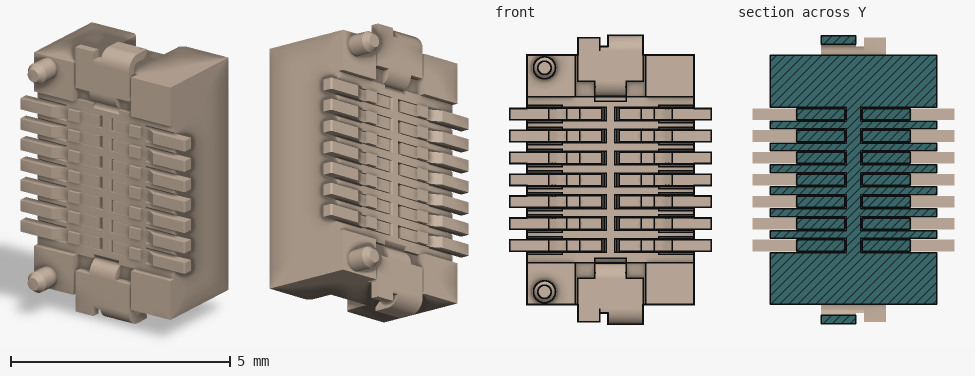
import cadquery as cq
import math

HOUSING_WIDTH = 3.815
HOUSING_DEPTH = 2.3
HOUSING_HEIGHT = 5.695
HALF_HEIGHT = HOUSING_HEIGHT / 2

CHANNEL_WIDTH = 1.19
CHANNEL_DEPTH = 0.685
CHANNEL_CHAMFER = 0.105

DECK_HALF_HEIGHT = 1.895
DECK_Y = 0.15

ROWS = 7
FIRST_TO_LAST_ROW = 2.995
PITCH = FIRST_TO_LAST_ROW / (ROWS - 1)
CONTACT_WIDTH = 0.265
CONTACT_THICKNESS = 0.25
CONTACT_INNER_X = 0.2
CONTACT_EMBED_Y = 0.395
BLOCK_INNER_X = 0.7
BLOCK_OUTER_X = 1.0
BLOCK_Y = 0.07
BEND_INNER_X = 1.13
BEND_OUTER_X = 1.255
TAIL_INNER_X = 1.41
SPAN_OVER_TAILS = 4.6
TAIL_TIP_X = SPAN_OVER_TAILS / 2
TAIL_ROUND = 0.045
ANGLE_ITERATIONS = 20

SLOT_WIDTH = 0.31
SLOT_FLOOR_Y = 0.305
SLOT_INNER_X = 0.09
SLOT_CHAMFER = 0.045
SLOT_STEP = 0.045
SLOT_CHAMFER_INNER_X = 1.1

PEG_X = -1.505
PEG_Z = 2.555
PEG_RADIUS = 0.25
PEG_TIP_RADIUS = 0.15
PEG_LENGTH = 0.6
PEG_TIP_LENGTH = 0.15

CLIP_TOP_Z = 3.3
CLIP_HALF_WIDTH = 0.745
CLIP_BOTTOM_Z = 2.245
CLIP_THICKNESS = 0.2
CLIP_BEND_RADIUS = 0.35
TAB_TOP_Z = 3.24
TAB_INNER_X = -0.245
HOOK_INNER_X = -0.06
STRIP_TOP_Z = 3.04
HOOK_TIP_Y = 0.71
HOOK_TIP_CHAMFER = 0.105
TONGUE_HALF_WIDTH = 0.355
CLIP_POCKET_WIDTH = 1.62
CLIP_POCKET_Y = 0.26


def box(x_range, y_range, z_range):
    """Box spanning the given (low, high) ranges."""
    lows, highs = zip(x_range, y_range, z_range)
    size = [high - low for low, high in zip(lows, highs)]
    return cq.Workplane("XY").box(*size, centered=False).translate(lows)


def mirrored_pair(shape, plane):
    """The shape together with its mirror image."""
    return shape.union(shape.mirror(plane))


def make_housing():
    half_width = HOUSING_WIDTH / 2
    half_channel = CHANNEL_WIDTH / 2
    channel_y = HOUSING_DEPTH - CHANNEL_DEPTH
    section = [
        (-half_width, 0),
        (half_width, 0),
        (half_width, HOUSING_DEPTH),
        (half_channel + CHANNEL_CHAMFER, HOUSING_DEPTH),
        (half_channel, HOUSING_DEPTH - CHANNEL_CHAMFER),
        (half_channel, channel_y),
        (-half_channel, channel_y),
        (-half_channel, HOUSING_DEPTH - CHANNEL_CHAMFER),
        (-half_channel - CHANNEL_CHAMFER, HOUSING_DEPTH),
        (-half_width, HOUSING_DEPTH),
    ]
    housing = cq.Workplane("XY").polyline(section).close().extrude(HALF_HEIGHT, both=True)
    deck = box(
        (-half_width, half_width), (0, DECK_Y), (-DECK_HALF_HEIGHT, DECK_HALF_HEIGHT)
    )
    return housing.cut(deck)


def make_clip_pocket():
    """Pocket behind the upper clip, with a bevelled notch where its tongue enters."""
    half_width = CLIP_POCKET_WIDTH / 2
    pocket = box(
        (-half_width, half_width), (0, CLIP_POCKET_Y), (DECK_HALF_HEIGHT, HALF_HEIGHT)
    )
    bevel = CLIP_POCKET_Y - DECK_Y
    notch = (
        cq.Workplane("YZ")
        .polyline([
            (DECK_Y, DECK_HALF_HEIGHT - bevel),
            (CLIP_POCKET_Y, DECK_HALF_HEIGHT),
            (DECK_Y, DECK_HALF_HEIGHT),
        ])
        .close()
        .extrude(TONGUE_HALF_WIDTH, both=True)
    )
    return pocket.union(notch)


def make_slot():
    """Slot on the +X side, with a stepped 45 degree inner end and bevelled outer edges."""
    outer_x = HOUSING_WIDTH / 2
    step_x = SLOT_INNER_X + SLOT_CHAMFER
    bevel_y = DECK_Y + SLOT_CHAMFER
    step_y = bevel_y + SLOT_STEP
    trench = (
        cq.Workplane("XY")
        .polyline([
            (SLOT_INNER_X, DECK_Y),
            (outer_x, DECK_Y),
            (outer_x, SLOT_FLOOR_Y),
            (step_x + SLOT_FLOOR_Y - step_y, SLOT_FLOOR_Y),
            (step_x, step_y),
            (step_x, bevel_y),
        ])
        .close()
        .extrude(SLOT_WIDTH / 2, both=True)
    )
    half_width = SLOT_WIDTH / 2
    bevel = (
        cq.Workplane("YZ", origin=(SLOT_CHAMFER_INNER_X, 0, 0))
        .polyline([
            (DECK_Y, -half_width - SLOT_CHAMFER),
            (DECK_Y, half_width + SLOT_CHAMFER),
            (bevel_y, half_width),
            (bevel_y, -half_width),
        ])
        .close()
        .extrude(outer_x - SLOT_CHAMFER_INNER_X)
    )
    return trench.union(bevel)


def make_contact():
    """Contact on the +X side: buried seat, raised block, curved ramp and flat tail."""
    arc_run = BEND_OUTER_X - BEND_INNER_X
    ramp_run = TAIL_INNER_X - BEND_OUTER_X
    angle = math.atan(DECK_Y / (arc_run + ramp_run))
    for _ in range(ANGLE_ITERATIONS):
        angle = math.atan((DECK_Y - arc_run * math.tan(angle / 2)) / ramp_run)
    radius = arc_run / math.sin(angle)
    arc_end = (BEND_OUTER_X, ramp_run * math.tan(angle))
    arc_middle = (
        BEND_INNER_X + radius * math.sin(angle / 2),
        DECK_Y - radius * (1 - math.cos(angle / 2)),
    )
    back_corner_x = TAIL_INNER_X - CONTACT_THICKNESS * math.tan(angle / 2)
    back_embed_x = back_corner_x - (CONTACT_EMBED_Y - CONTACT_THICKNESS) / math.tan(angle)
    return (
        cq.Workplane("XY")
        .moveTo(CONTACT_INNER_X, CONTACT_EMBED_Y)
        .lineTo(CONTACT_INNER_X, DECK_Y)
        .lineTo(BLOCK_INNER_X, DECK_Y)
        .lineTo(BLOCK_INNER_X, BLOCK_Y)
        .lineTo(BLOCK_OUTER_X, BLOCK_Y)
        .lineTo(BLOCK_OUTER_X, DECK_Y)
        .lineTo(BEND_INNER_X, DECK_Y)
        .threePointArc(arc_middle, arc_end)
        .lineTo(TAIL_INNER_X, 0)
        .lineTo(TAIL_TIP_X - TAIL_ROUND, 0)
        .radiusArc((TAIL_TIP_X, TAIL_ROUND), -TAIL_ROUND)
        .lineTo(TAIL_TIP_X, CONTACT_THICKNESS)
        .lineTo(back_corner_x, CONTACT_THICKNESS)
        .lineTo(back_embed_x, CONTACT_EMBED_Y)
        .close()
        .extrude(CONTACT_WIDTH / 2, both=True)
    )


def make_clip():
    """Upper hold-down: flat plate, side tab, hook curled toward +Y and buried tongue."""
    inner_radius = CLIP_BEND_RADIUS - CLIP_THICKNESS
    bend_z = CLIP_TOP_Z - CLIP_BEND_RADIUS
    hook_inner_z = CLIP_TOP_Z - CLIP_THICKNESS
    diagonal = math.sqrt(0.5)

    def bend_point(radius, center_z, side):
        """Middle of a quarter bend; side is +1 for a bend going up, -1 for one going down."""
        return (CLIP_BEND_RADIUS - radius * diagonal, center_z + side * radius * diagonal)

    hook = (
        cq.Workplane("YZ", origin=(TAB_INNER_X, 0, 0))
        .moveTo(0, CLIP_BOTTOM_Z)
        .lineTo(0, bend_z)
        .threePointArc(bend_point(CLIP_BEND_RADIUS, bend_z, 1), (CLIP_BEND_RADIUS, CLIP_TOP_Z))
        .lineTo(HOOK_TIP_Y, CLIP_TOP_Z)
        .lineTo(HOOK_TIP_Y, hook_inner_z + HOOK_TIP_CHAMFER)
        .lineTo(HOOK_TIP_Y - HOOK_TIP_CHAMFER, hook_inner_z)
        .lineTo(CLIP_BEND_RADIUS, hook_inner_z)
        .threePointArc(bend_point(inner_radius, bend_z, 1), (CLIP_THICKNESS, bend_z))
        .lineTo(CLIP_THICKNESS, CLIP_BOTTOM_Z)
        .close()
        .extrude(CLIP_HALF_WIDTH - TAB_INNER_X)
    )
    relief = box((TAB_INNER_X, HOOK_INNER_X), (0, HOOK_TIP_Y), (STRIP_TOP_Z, CLIP_TOP_Z))
    tab = box(
        (-CLIP_HALF_WIDTH, TAB_INNER_X), (0, CLIP_THICKNESS), (CLIP_BOTTOM_Z, TAB_TOP_Z)
    )
    tongue = (
        cq.Workplane("YZ")
        .moveTo(0, CLIP_BOTTOM_Z)
        .threePointArc(
            bend_point(CLIP_BEND_RADIUS, CLIP_BOTTOM_Z, -1),
            (CLIP_BEND_RADIUS, CLIP_BOTTOM_Z - CLIP_BEND_RADIUS),
        )
        .lineTo(CLIP_BEND_RADIUS, CLIP_BOTTOM_Z - inner_radius)
        .threePointArc(
            bend_point(inner_radius, CLIP_BOTTOM_Z, -1), (CLIP_THICKNESS, CLIP_BOTTOM_Z)
        )
        .close()
        .extrude(TONGUE_HALF_WIDTH, both=True)
    )
    return hook.cut(relief).union(tab).union(tongue)


def make_peg():
    """Upper locating peg with a tapered tip, pointing toward -Y."""
    return (
        cq.Workplane("XY")
        .polyline([
            (0, 0),
            (PEG_RADIUS, 0),
            (PEG_RADIUS, PEG_TIP_LENGTH - PEG_LENGTH),
            (PEG_TIP_RADIUS, -PEG_LENGTH),
            (0, -PEG_LENGTH),
        ])
        .close()
        .revolve(360, (0, 0), (0, 1))
        .translate((PEG_X, 0, PEG_Z))
    )


result = make_housing().cut(mirrored_pair(make_clip_pocket(), "XY"))

slot_pair = mirrored_pair(make_slot(), "YZ")
contact_pair = mirrored_pair(make_contact(), "YZ")
for row in range(ROWS):
    row_offset = (0, 0, (row - (ROWS - 1) / 2) * PITCH)
    result = result.cut(slot_pair.translate(row_offset))
    result = result.union(contact_pair.translate(row_offset))

for fitting in (make_clip(), make_peg()):
    result = result.union(mirrored_pair(fitting, "XY"))